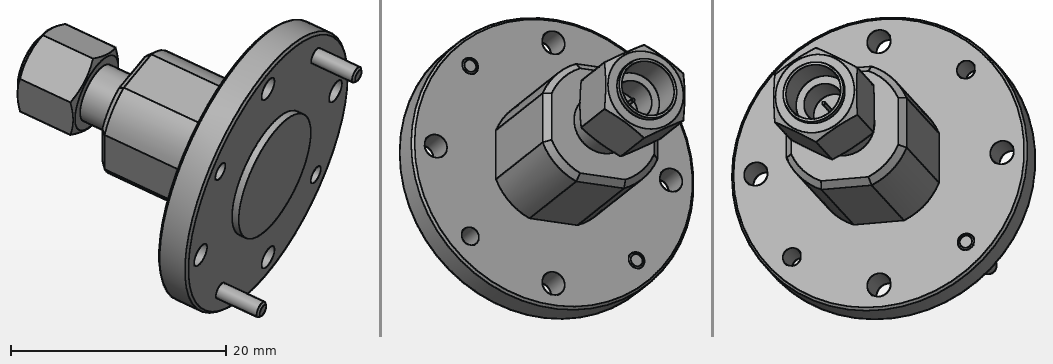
import cadquery as cq
import math

OVERALL_LENGTH = 30.27

NUT_START = 0.55
NUT_END = 6.85
BLOCK_START = 10.7
FLANGE_START = 22.37
FLANGE_END = 25.6
BOSS_END = 26.35

FLANGE_DIAMETER = 28.57
FLANGE_CHAMFER = 0.25
BOSS_DIAMETER = 12.7

PITCH_RADIUS = 11.9
SCREW_HOLE_DIAMETER = 2.27
SCREW_HOLE_ANGLES = (0.0, 90.0, 180.0, 270.0)
MATING_HOLE_DIAMETER = 1.75
MATING_HOLE_ANGLES = (135.0, 315.0)
PIN_DIAMETER = 1.6
PIN_CHAMFER = 0.2
PIN_ANGLES = (45.0, 225.0)

BLOCK_ACROSS_FLATS = 11.62
BLOCK_DIAMETER = 12.6
BLOCK_CHAMFER = 0.65

NECK_DIAMETER = 5.8
BORE_DIAMETER = 5.3
BORE_END = 3.5
SOCKET_DIAMETER = 3.78
SOCKET_END = NUT_END
CONTACT_DIAMETER = 0.3

NUT_ACROSS_FLATS = 8.0
NUT_ACROSS_CORNERS = NUT_ACROSS_FLATS / math.cos(math.radians(30.0))
NUT_FACE_DIAMETER = 7.63
NUT_CHAMFER_LENGTH = 0.4


def axial_plane(x):
    """Plane at station x facing +X: its local axes are Y and Z."""
    return cq.Workplane("YZ", origin=(x, 0, 0))


def cylinder(start, end, diameter):
    return axial_plane(start).circle(diameter / 2).extrude(end - start)


def pitch_circle_drill(diameter, angles):
    """Cutters through the flange at the given angles, measured from +Y toward +Z."""
    points = [
        (PITCH_RADIUS * math.cos(math.radians(a)), PITCH_RADIUS * math.sin(math.radians(a)))
        for a in angles
    ]
    thickness = FLANGE_END - FLANGE_START
    return axial_plane(FLANGE_START).pushPoints(points).circle(diameter / 2).extrude(thickness)


def make_flange():
    flange = cylinder(FLANGE_START, FLANGE_END, FLANGE_DIAMETER).edges().chamfer(FLANGE_CHAMFER)
    flange = flange.cut(pitch_circle_drill(SCREW_HOLE_DIAMETER, SCREW_HOLE_ANGLES))
    flange = flange.cut(pitch_circle_drill(MATING_HOLE_DIAMETER, MATING_HOLE_ANGLES))
    return flange.cut(pitch_circle_drill(PIN_DIAMETER, PIN_ANGLES))


def make_block():
    length = FLANGE_START - BLOCK_START
    square = axial_plane(BLOCK_START).rect(BLOCK_ACROSS_FLATS, BLOCK_ACROSS_FLATS).extrude(length)
    square = square.faces("<X").chamfer(BLOCK_CHAMFER)
    round_bar = cylinder(BLOCK_START, FLANGE_START, BLOCK_DIAMETER).faces("<X").chamfer(BLOCK_CHAMFER)
    return square.intersect(round_bar)


def make_housing():
    """Flange, rear boss, block and hollow neck with the centre contact."""
    housing = make_flange()
    housing = housing.union(cylinder(FLANGE_END, BOSS_END, BOSS_DIAMETER))
    housing = housing.union(make_block())
    housing = housing.union(cylinder(0, BLOCK_START, NECK_DIAMETER))
    housing = housing.cut(cylinder(0, BORE_END, BORE_DIAMETER))
    housing = housing.cut(cylinder(BORE_END, SOCKET_END, SOCKET_DIAMETER))
    return housing.union(cylinder(BORE_END, SOCKET_END, CONTACT_DIAMETER))


def make_nut():
    """Hexagon ring around the neck, with both ends turned to a cone."""
    length = NUT_END - NUT_START
    hexagon = axial_plane(NUT_START).polygon(6, NUT_ACROSS_CORNERS).extrude(length)
    hexagon = hexagon.rotate((0, 0, 0), (1, 0, 0), 90)
    corner_depth = (NUT_ACROSS_CORNERS - NUT_FACE_DIAMETER) / 2
    envelope = (
        cylinder(NUT_START, NUT_END, NUT_ACROSS_CORNERS)
        .edges()
        .chamfer(NUT_CHAMFER_LENGTH, corner_depth)
    )
    return hexagon.intersect(envelope).cut(cylinder(NUT_START, NUT_END, NECK_DIAMETER))


def make_pin(angle):
    """Dowel pin set through the flange, flush with its -X face."""
    pin = cylinder(FLANGE_START, OVERALL_LENGTH, PIN_DIAMETER).edges().chamfer(PIN_CHAMFER)
    return pin.translate((0, PITCH_RADIUS, 0)).rotate((0, 0, 0), (1, 0, 0), angle)


housing = make_housing()
nut = make_nut()
pins = [make_pin(angle) for angle in PIN_ANGLES]

result = cq.Compound.makeCompound([housing.val(), nut.val(), *[pin.val() for pin in pins]])